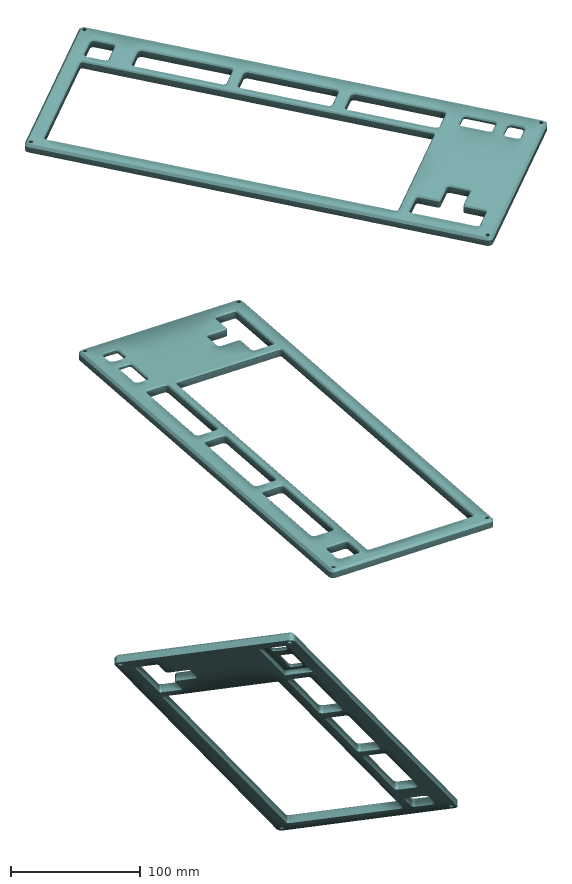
import cadquery as cq

LENGTH = 377.5
WIDTH = 147.5
THICKNESS = 7.0
CORNER_RADIUS = 4.0
RIM_CHAMFER = 2.0
OPENING_CHAMFER = 1.02

HOLE_DIAMETER = 3.5
HOLE_EDGE_DISTANCE = 4.5

BORDER_LEFT = 13.0
KEY_CORNER_RADIUS = 2.0
ROUND_CORNER_RADIUS = 3.0

MAIN_FRONT = 11.7
MAIN_LENGTH = 285.5
MAIN_WIDTH = 95.0

BACK_ROW_FRONT = 114.0
BACK_ROW_WIDTH = 19.2
SINGLE_KEY_LENGTH = 19.5
FUNCTION_BLOCK_LENGTH = 76.2
FUNCTION_BLOCK_STARTS = (51.5, 136.5, 223.0)

DISPLAY_LEFT = 313.2
DISPLAY_FRONT = 122.0
DISPLAY_LENGTH = 26.5
DISPLAY_WIDTH = 11.5
DISPLAY_CORNER_RADIUS = 2.3
KNOB_LEFT = 349.0
KNOB_FRONT = 120.5
KNOB_SIZE = 13.5

RECESS_MARGIN = 4.5
RECESS_DEPTH = 4.0

ARROW_LEFT = 307.0
ARROW_FRONT = 13.0
ARROW_BAR_LENGTH = 56.5
ARROW_BAR_WIDTH = 19.0
ARROW_STEM_LENGTH = 18.5
ARROW_TOTAL_WIDTH = 38.0


def block(left, front, length, width, height=THICKNESS):
    """Block on the underside plane, placed from the front left corner of the plate."""
    return (
        cq.Workplane("XY")
        .box(length, width, height, centered=False)
        .translate((left - LENGTH / 2, front - WIDTH / 2, 0))
    )


def rounded_block(left, front, length, width, radius):
    return block(left, front, length, width).edges("|Z").fillet(radius)


def plate():
    return (
        cq.Workplane("XY")
        .box(LENGTH, WIDTH, THICKNESS, centered=(True, True, False))
        .edges("|Z")
        .fillet(CORNER_RADIUS)
        .faces(">Z")
        .edges()
        .chamfer(RIM_CHAMFER)
    )


def main_field():
    return rounded_block(BORDER_LEFT, MAIN_FRONT, MAIN_LENGTH, MAIN_WIDTH, KEY_CORNER_RADIUS)


def back_row():
    row = rounded_block(
        BORDER_LEFT, BACK_ROW_FRONT, SINGLE_KEY_LENGTH, BACK_ROW_WIDTH, ROUND_CORNER_RADIUS
    )
    for start in FUNCTION_BLOCK_STARTS:
        row = row.union(
            rounded_block(
                start, BACK_ROW_FRONT, FUNCTION_BLOCK_LENGTH, BACK_ROW_WIDTH, ROUND_CORNER_RADIUS
            )
        )
    return row


def display():
    return rounded_block(
        DISPLAY_LEFT, DISPLAY_FRONT, DISPLAY_LENGTH, DISPLAY_WIDTH, DISPLAY_CORNER_RADIUS
    )


def knob():
    return rounded_block(KNOB_LEFT, KNOB_FRONT, KNOB_SIZE, KNOB_SIZE, ROUND_CORNER_RADIUS)


def arrow_keys():
    stem_left = ARROW_LEFT + (ARROW_BAR_LENGTH - ARROW_STEM_LENGTH) / 2
    bar = block(ARROW_LEFT, ARROW_FRONT, ARROW_BAR_LENGTH, ARROW_BAR_WIDTH)
    stem = block(stem_left, ARROW_FRONT, ARROW_STEM_LENGTH, ARROW_TOTAL_WIDTH)
    return bar.union(stem, clean=True).edges("|Z").fillet(KEY_CORNER_RADIUS)


def underside_recess():
    left = DISPLAY_LEFT - RECESS_MARGIN
    right = KNOB_LEFT + KNOB_SIZE + RECESS_MARGIN
    front = KNOB_FRONT - RECESS_MARGIN
    back = KNOB_FRONT + KNOB_SIZE + RECESS_MARGIN
    return block(left, front, right - left, back - front, RECESS_DEPTH)


def chamfer_opening_tops(body):
    """Chamfer the top edge of every opening, leaving the outer rim alone."""
    top_face = body.faces(">Z").val()
    edges = [edge for wire in top_face.innerWires() for edge in wire.Edges()]
    return body.newObject(edges).chamfer(OPENING_CHAMFER)


def drill_corner_holes(body):
    return (
        body.faces(">Z")
        .workplane(origin=(0, 0, THICKNESS))
        .rect(
            LENGTH - 2 * HOLE_EDGE_DISTANCE,
            WIDTH - 2 * HOLE_EDGE_DISTANCE,
            forConstruction=True,
        )
        .vertices()
        .hole(HOLE_DIAMETER)
    )


frame = plate()
for opening in (main_field(), back_row(), display(), knob(), arrow_keys()):
    frame = frame.cut(opening)
frame = chamfer_opening_tops(frame).cut(underside_recess())

result = drill_corner_holes(frame)